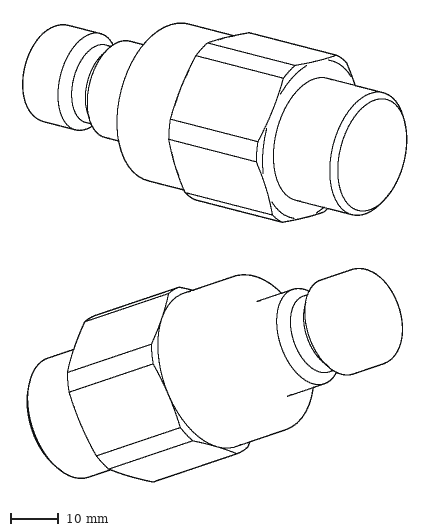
import cadquery as cq
import math

total_length = 85.0

plug_diameter = 20.9
plug_nose_radius = 2.0
groove_diameter = 16.8
groove_start = 10.3
groove_end = 18.0

body_start = 30.0
body_diameter = 34.0
body_edge_radius = 1.5
neck_fillet_radius = 2.0

hex_start = 45.0
hex_sides = 6
hex_length = 24.0
hex_across_flats = body_diameter
hex_corner_diameter = 37.0
hex_turn = -7.4
hex_chamfer_length = 0.5
hex_chamfer_depth = (hex_corner_diameter - hex_across_flats) / 2

spigot_diameter = 26.44
spigot_chamfer = 1.2

hex_end = hex_start + hex_length


def turned_body():
    """Half profile, X along the axis and Y as radius, revolved about X."""
    plug_radius = plug_diameter / 2
    groove_radius = groove_diameter / 2
    groove_depth = plug_radius - groove_radius
    body_radius = body_diameter / 2
    spigot_radius = spigot_diameter / 2
    arc_inset = 1 - math.sqrt(0.5)
    nose_inset = plug_nose_radius * arc_inset
    neck_inset = neck_fillet_radius * arc_inset
    edge_inset = body_edge_radius * arc_inset

    profile = (
        cq.Workplane("XY")
        .moveTo(0, 0)
        .lineTo(0, plug_radius - plug_nose_radius)
        .threePointArc((nose_inset, plug_radius - nose_inset), (plug_nose_radius, plug_radius))
        .lineTo(groove_start, plug_radius)
        .lineTo(groove_start + groove_depth, groove_radius)
        .lineTo(groove_end - groove_depth, groove_radius)
        .lineTo(groove_end, plug_radius)
        .lineTo(body_start - neck_fillet_radius, plug_radius)
        .threePointArc(
            (body_start - neck_inset, plug_radius + neck_inset),
            (body_start, plug_radius + neck_fillet_radius),
        )
        .lineTo(body_start, body_radius - body_edge_radius)
        .threePointArc(
            (body_start + edge_inset, body_radius - edge_inset),
            (body_start + body_edge_radius, body_radius),
        )
        .lineTo(hex_start, body_radius)
        .lineTo(hex_start, spigot_radius)
        .lineTo(total_length - spigot_chamfer, spigot_radius)
        .lineTo(total_length, spigot_radius - spigot_chamfer)
        .lineTo(total_length, 0)
        .close()
    )
    return profile.revolve(360, (0, 0, 0), (1, 0, 0))


def hexagon():
    """Hexagonal prism whose corners are turned round and chamfered at both ends."""
    across_corners = hex_across_flats / math.cos(math.pi / hex_sides)
    prism = (
        cq.Workplane("YZ", origin=(hex_start, 0, 0))
        .polygon(hex_sides, across_corners)
        .extrude(hex_length)
        .rotate((0, 0, 0), (1, 0, 0), hex_turn)
    )

    corner_radius = hex_corner_diameter / 2
    end_radius = corner_radius - hex_chamfer_depth
    envelope = (
        cq.Workplane("XY")
        .moveTo(hex_start, 0)
        .lineTo(hex_start, end_radius)
        .lineTo(hex_start + hex_chamfer_length, corner_radius)
        .lineTo(hex_end - hex_chamfer_length, corner_radius)
        .lineTo(hex_end, end_radius)
        .lineTo(hex_end, 0)
        .close()
        .revolve(360, (0, 0, 0), (1, 0, 0))
    )
    return prism.intersect(envelope)


result = turned_body().union(hexagon())